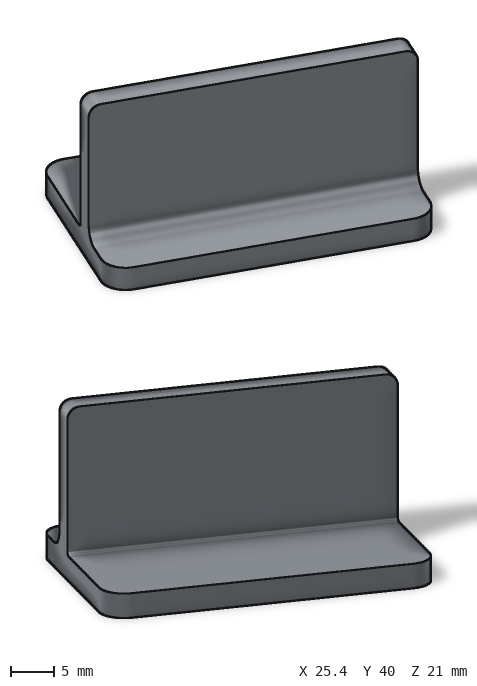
import cadquery as cq

width = 25.4
length = 40.0
height = 21.0

thickness = 3.0
base_corner_radius = thickness
wall_offset = 15.0
wall_corner_radius = thickness / 2

small_root_radius = 0.5
large_root_radius = 2.0

wall_left = wall_offset - width / 2
wall_right = wall_left + thickness


def make_base():
    """Flat plate with rounded vertical corners, resting on Z = 0."""
    plate = cq.Workplane("XY").box(width, length, thickness, centered=(True, True, False))
    return plate.edges("|Z").fillet(base_corner_radius)


def make_wall():
    """Upright wall along the full length, with its two top corners rounded."""
    wall = cq.Workplane("XY").box(thickness, length, height, centered=(True, True, False))
    wall = wall.edges("|X and >Z").fillet(wall_corner_radius)
    return wall.translate((wall_left + thickness / 2, 0, 0))


def root_edge(x):
    """Selector for the inside corner line between base and wall at the given X."""
    return cq.selectors.NearestToPointSelector((x, 0, thickness))


result = make_base().union(make_wall())
result = result.edges(root_edge(wall_left)).fillet(small_root_radius)
result = result.edges(root_edge(wall_right)).fillet(large_root_radius)